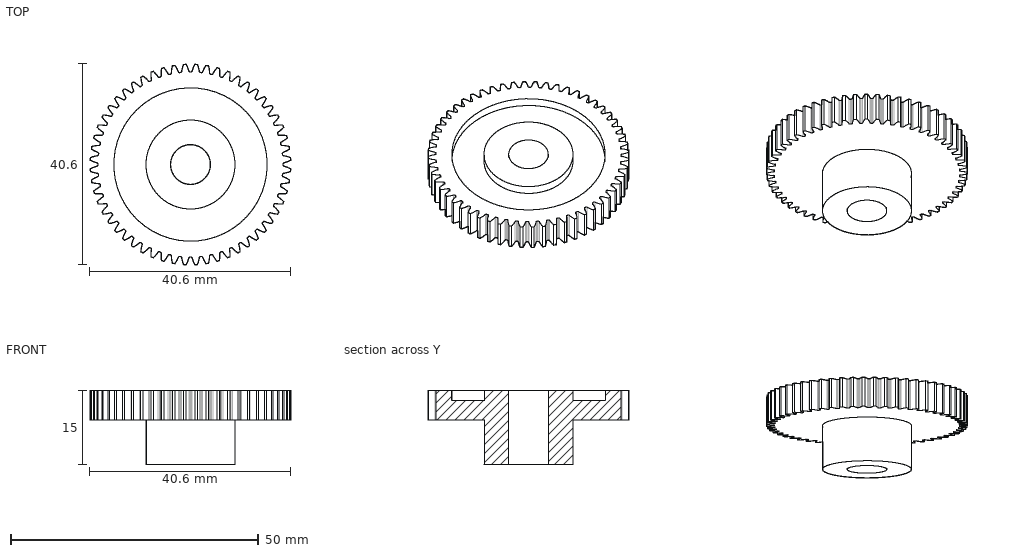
import cadquery as cq
import math

module = 0.7
tooth_count = 56
pressure_angle = math.radians(20)
addendum_factor = 1.0
dedendum_factor = 1.25
root_fillet = 0.2
flank_points = 5

face_width = 6.0
hub_length = 9.0
hub_diameter = 18.0
bore_diameter = 8.0

recess_diameter = 31.0
recess_depth = 2.0

total_height = hub_length + face_width
pitch_radius = module * tooth_count / 2
tip_radius = pitch_radius + addendum_factor * module
root_radius = pitch_radius - dedendum_factor * module
base_radius = pitch_radius * math.cos(pressure_angle)
tooth_pitch = 2 * math.pi / tooth_count


def polar(radius, angle):
    return (radius * math.cos(angle), radius * math.sin(angle))


def involute(pressure):
    return math.tan(pressure) - pressure


def half_tooth_angle(radius):
    """Angle from the tooth centre line to its involute flank at a radius."""
    pressure = math.acos(base_radius / radius)
    return tooth_pitch / 4 + involute(pressure_angle) - involute(pressure)


def toothed_blank():
    """Spur gear blank with a tooth space centred on the +X axis."""
    step = (tip_radius - root_radius) / (flank_points - 1)
    radii = [root_radius + i * step for i in range(flank_points)]
    root_half_angle = half_tooth_angle(root_radius)

    outline = cq.Workplane("XY").workplane(offset=hub_length)
    outline = outline.moveTo(*polar(root_radius, tooth_pitch / 2 - root_half_angle))
    for tooth in range(tooth_count):
        centre = (tooth + 0.5) * tooth_pitch
        rising = [polar(r, centre - half_tooth_angle(r)) for r in radii]
        falling = [polar(r, centre + half_tooth_angle(r)) for r in reversed(radii)]
        next_root = polar(root_radius, centre + tooth_pitch - root_half_angle)
        outline = outline.spline(rising[1:], includeCurrent=True)
        outline = outline.threePointArc(polar(tip_radius, centre), falling[0])
        outline = outline.spline(falling[1:], includeCurrent=True)
        outline = outline.threePointArc(polar(root_radius, centre + tooth_pitch / 2), next_root)
    blank = outline.close().extrude(face_width)

    root_edges = blank.edges("|Z").filter(
        lambda edge: math.hypot(edge.Center().x, edge.Center().y) < pitch_radius
    )
    return root_edges.fillet(root_fillet)


def hub():
    return cq.Workplane("XY").circle(hub_diameter / 2).extrude(hub_length)


def face_recess():
    floor = cq.Workplane("XY").workplane(offset=total_height - recess_depth)
    return floor.circle(recess_diameter / 2).circle(hub_diameter / 2).extrude(recess_depth)


def bore():
    return cq.Workplane("XY").circle(bore_diameter / 2).extrude(total_height)


result = toothed_blank().union(hub()).cut(face_recess()).cut(bore())